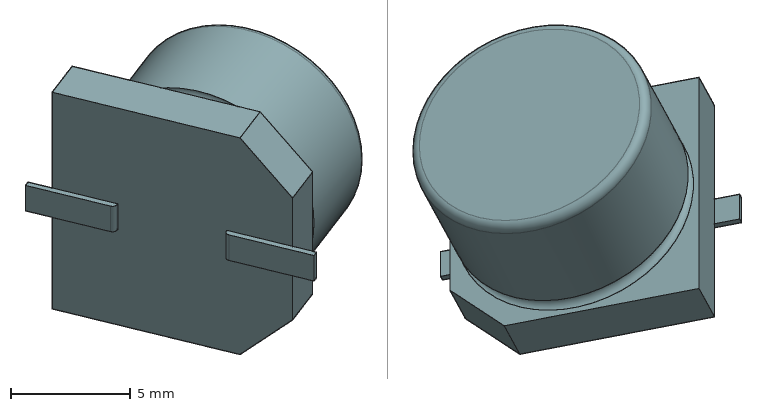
import cadquery as cq


total_span = 13.2
total_depth = 8.51

base_width = 11.0
base_thickness = 2.13
base_chamfer = 2.4

terminal_thickness = 0.28
terminal_length = 4.1
terminal_width = 1.3
terminal_round = 0.21

can_radius = 5.25
can_length = total_depth - terminal_thickness - base_thickness
can_end_round = 0.4
groove_radius = 0.35


def make_base():
    """Square plate with two chamfered corners marking the polarity."""
    plate = cq.Workplane("XY").box(
        base_width, base_thickness, base_width, centered=(True, False, True)
    )
    return plate.edges("|Y and >X").chamfer(base_chamfer)


def make_can():
    """Cylinder with a crimp groove at the base and a rounded closed end."""
    seat_y = base_thickness
    end_y = seat_y + can_length
    profile = (
        cq.Workplane("XY")
        .moveTo(0, seat_y)
        .lineTo(can_radius, seat_y)
        .threePointArc(
            (can_radius - groove_radius, seat_y + groove_radius),
            (can_radius, seat_y + 2 * groove_radius),
        )
        .lineTo(can_radius, end_y)
        .lineTo(0, end_y)
        .close()
    )
    can = profile.revolve(360, (0, 0, 0), (0, 1, 0))
    return can.faces(">Y").edges().fillet(can_end_round)


def make_terminal(side):
    """Flat strip on the mounting face; side is -1 for the -X end and +1 for the +X end."""
    center_x = side * (total_span - terminal_length) / 2
    inner_end = ">X" if side < 0 else "<X"
    strip = cq.Workplane("XY").box(terminal_length, terminal_thickness, terminal_width)
    strip = strip.faces(inner_end).edges("<Y").fillet(terminal_round)
    return strip.translate((center_x, -terminal_thickness / 2, 0))


base = make_base()
can = make_can()
terminals = [make_terminal(side) for side in (-1, 1)]

result = cq.Compound.makeCompound(
    [base.val(), can.val(), *[terminal.val() for terminal in terminals]]
)